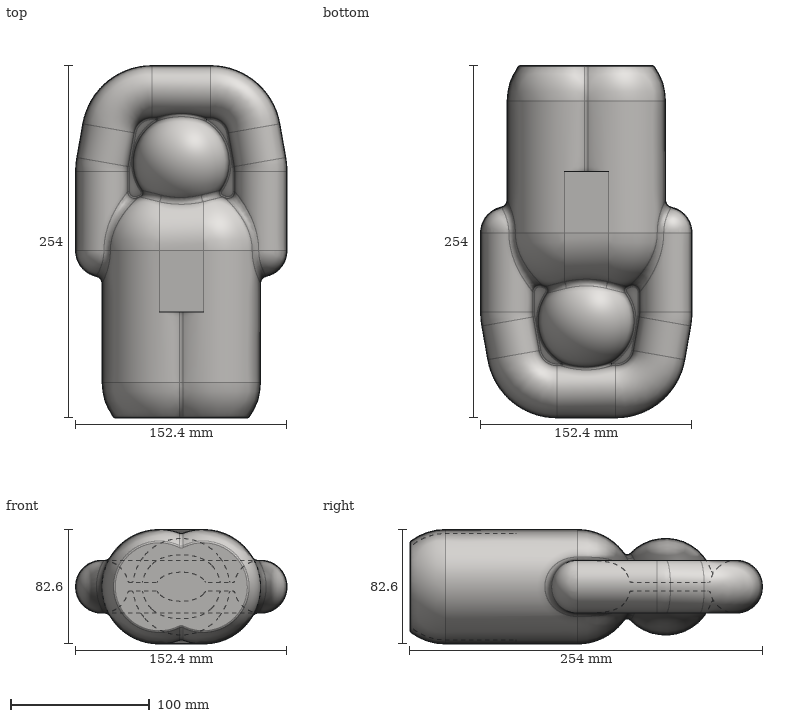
import cadquery as cq
import math


TOP_Y = 133.35
FOOT_Y = -120.65

BODY_RADIUS = 41.275
LEG_OFFSET = 15.875
CROTCH_Y = -44.45
LEG_END_Y = -95.25
GROOVE_FILLET = 3.175
FOOT_FILLET = 1.5875

ARM_RADIUS = 19.05
ARM_X = 57.15
ELBOW_Y = 57.15
ARM_LEAN = math.radians(10)
ELBOW_BEND_RADIUS = 38.1
WRIST_BEND_RADIUS = 31.75
ARM_FILLET = 5.08

HEAD_RADIUS = 34.925
HEAD_Y = 63.5
NECK_FILLET = 3.175

WEB_THICKNESS = 6.35
WEB_FILLET = 1.27

TOLERANCE = 0.01
EDGE_MARGIN = 1.0
HALF_WEB = WEB_THICKNESS / 2


def leg_cylinder(x):
    """Cylinder along Y with a dome at each end, running the full length of the body."""
    diagonal = BODY_RADIUS * math.sin(math.radians(45))
    return (
        cq.Workplane("XY")
        .moveTo(x, LEG_END_Y - BODY_RADIUS)
        .threePointArc((x + diagonal, LEG_END_Y - diagonal), (x + BODY_RADIUS, LEG_END_Y))
        .lineTo(x + BODY_RADIUS, 0)
        .threePointArc((x + diagonal, diagonal), (x, BODY_RADIUS))
        .close()
        .revolve(360, (x, 0, 0), (x, 1, 0))
    )


def torso_bridge():
    """Flat-sided block with a rounded shoulder end that joins the two cylinders."""
    return (
        cq.Workplane("YZ", origin=(-LEG_OFFSET, 0, 0))
        .moveTo(CROTCH_Y, -BODY_RADIUS)
        .lineTo(0, -BODY_RADIUS)
        .threePointArc((BODY_RADIUS, 0), (0, BODY_RADIUS))
        .lineTo(CROTCH_Y, BODY_RADIUS)
        .close()
        .extrude(2 * LEG_OFFSET)
    )


def groove_edge(edge):
    """Edges in the middle plane where the two legs meet."""
    box = edge.BoundingBox()
    on_middle = max(abs(box.xmin), abs(box.xmax)) < TOLERANCE
    return on_middle and box.ymax < CROTCH_Y + TOLERANCE


def make_body():
    legs = leg_cylinder(LEG_OFFSET).union(leg_cylinder(-LEG_OFFSET))
    beyond_feet = (
        cq.Workplane("XZ", origin=(0, FOOT_Y, 0))
        .rect(4 * BODY_RADIUS, 4 * BODY_RADIUS)
        .extrude(BODY_RADIUS)
    )
    body = legs.union(torso_bridge()).cut(beyond_feet)
    body = body.edges().filter(groove_edge).fillet(GROOVE_FILLET)
    return body.faces("<Y").edges().fillet(FOOT_FILLET)


def bend_point(center, radius, angle):
    """Point on a bend of the -X arm; the angle is measured from -X toward +Y."""
    return (center[0] - radius * math.cos(angle), center[1] + radius * math.sin(angle))


def arm_path():
    """Centreline of both arms, from the -X hand around the head to the +X hand."""
    elbow_center = (ELBOW_BEND_RADIUS - ARM_X, ELBOW_Y)
    elbow_middle = bend_point(elbow_center, ELBOW_BEND_RADIUS, ARM_LEAN / 2)
    elbow_end = bend_point(elbow_center, ELBOW_BEND_RADIUS, ARM_LEAN)

    crossing_y = TOP_Y - ARM_RADIUS
    wrist_center_y = crossing_y - WRIST_BEND_RADIUS
    wrist_start_y = wrist_center_y + WRIST_BEND_RADIUS * math.sin(ARM_LEAN)
    wrist_start_x = elbow_end[0] + (wrist_start_y - elbow_end[1]) * math.tan(ARM_LEAN)
    wrist_start = (wrist_start_x, wrist_start_y)
    wrist_center = (wrist_start_x + WRIST_BEND_RADIUS * math.cos(ARM_LEAN), wrist_center_y)
    wrist_middle = bend_point(wrist_center, WRIST_BEND_RADIUS, (ARM_LEAN + math.pi / 2) / 2)
    wrist_end = (wrist_center[0], crossing_y)

    def mirrored(point):
        return (-point[0], point[1])

    return (
        cq.Workplane("XY")
        .moveTo(-ARM_X, 0)
        .lineTo(-ARM_X, ELBOW_Y)
        .threePointArc(elbow_middle, elbow_end)
        .lineTo(*wrist_start)
        .threePointArc(wrist_middle, wrist_end)
        .lineTo(*mirrored(wrist_end))
        .threePointArc(mirrored(wrist_middle), mirrored(wrist_start))
        .lineTo(*mirrored(elbow_end))
        .threePointArc(mirrored(elbow_middle), (ARM_X, ELBOW_Y))
        .lineTo(ARM_X, 0)
    )


def make_arms():
    arms = cq.Workplane("XZ", origin=(-ARM_X, 0, 0)).circle(ARM_RADIUS).sweep(arm_path())
    for x in (-ARM_X, ARM_X):
        arms = arms.union(cq.Workplane("XY").sphere(ARM_RADIUS).translate((x, 0, 0)))
    return arms


def make_head():
    """Sphere revolved about the Y axis."""
    return (
        cq.Workplane("XY")
        .moveTo(0, HEAD_Y - HEAD_RADIUS)
        .threePointArc((HEAD_RADIUS, HEAD_Y), (0, HEAD_Y + HEAD_RADIUS))
        .close()
        .revolve(360, (0, 0, 0), (0, 1, 0))
    )


def make_web():
    """Flat plate bounded by the arm centreline."""
    return arm_path().close().extrude(WEB_THICKNESS).translate((0, 0, -HALF_WEB))


def arm_joint_edge(edge):
    """Free-form edges where an arm meets the body, between the hand and the shoulder dome."""
    box = edge.BoundingBox()
    beside_body = LEG_OFFSET < abs(edge.Center().x) < ARM_X
    along_arm = box.ymin > -ARM_RADIUS - EDGE_MARGIN and box.ymax < BODY_RADIUS
    within_arm = box.zmax < ARM_RADIUS and box.zmin > -ARM_RADIUS
    return edge.geomType() == "BSPLINE" and beside_body and along_arm and within_arm


def neck_edge(edge):
    """Free-form edges across the middle where the head meets the body."""
    box = edge.BoundingBox()
    in_middle = abs(edge.Center().x) < TOLERANCE
    at_neck = box.ymin > HEAD_Y - HEAD_RADIUS and box.ymax < BODY_RADIUS
    return edge.geomType() == "BSPLINE" and in_middle and at_neck


def web_edge(edge):
    """Edges lying in the two flat faces of the web."""
    box = edge.BoundingBox()
    flat = box.zmax - box.zmin < TOLERANCE
    return flat and abs(abs(box.zmin) - HALF_WEB) < TOLERANCE


def crown_edge(edge):
    """Free-form edges where the top of the head meets the arms."""
    return edge.geomType() == "BSPLINE" and edge.BoundingBox().ymin > TOP_Y - 2 * ARM_RADIUS - EDGE_MARGIN


figure = make_body().union(make_arms())
figure = figure.edges().filter(arm_joint_edge).fillet(ARM_FILLET)
figure = figure.union(make_head())
figure = figure.edges().filter(neck_edge).fillet(NECK_FILLET)
figure = figure.union(make_web())
result = figure.edges().filter(lambda edge: web_edge(edge) or crown_edge(edge)).fillet(WEB_FILLET)